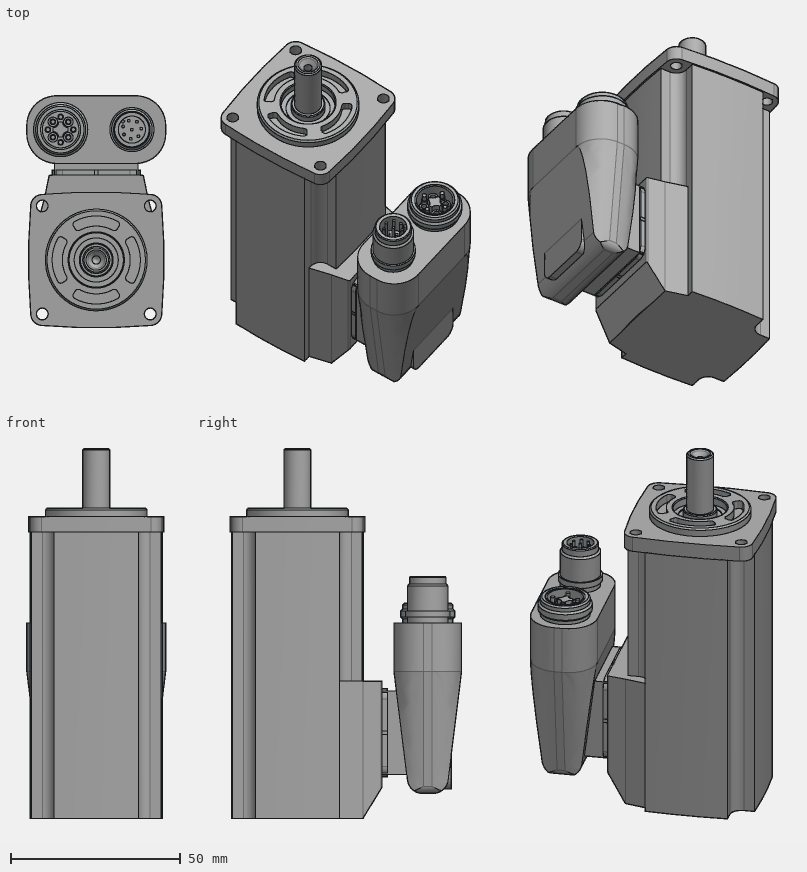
import cadquery as cq
import math


BODY_HALF = 19.5
BODY_TOP = 84.4
SIDE_BULGE_RADIUS = 213.0
NOTCH_INNER = 12.4
NOTCH_RADIUS = 3.5

FLANGE_HALF = 20.0
FLANGE_TOP = 89.0
FLANGE_CORNER_RADIUS = 3.5
BOLT_CIRCLE_DIA = 45.0
BOLT_HOLE_DIA = 3.4
PILOT_DIA = 30.0
PILOT_HEIGHT = 2.5
PILOT_TOP = FLANGE_TOP + PILOT_HEIGHT
PILOT_CHAMFER = 0.5
SLOT_INNER_RADIUS = 10.0
SLOT_OUTER_RADIUS = 13.0
SLOT_HALF_ANGLE = 34.0
SLOT_CORNER_RADIUS = 1.0
SLOT_DEPTH = PILOT_HEIGHT
RECESS_DIA = 16.0
RECESS_CHAMFER = 0.3
RECESS_FLOOR = FLANGE_TOP
SEAL_GROOVE_DIA = 13.0
SEAL_GROOVE_DEPTH = 0.3

SHAFT_DIA = 8.0
SHAFT_TOP = 109.0
SHAFT_CHAMFER = 0.4
COLLAR_DIA = 10.0
COLLAR_SETBACK = 0.5
COLLAR_TOP = PILOT_TOP - COLLAR_SETBACK
COLLAR_CHAMFER = 0.3
CENTRE_MOUTH_DIA = 6.0
CENTRE_CONE_DIA = 5.0
CENTRE_CONE_DEPTH = 1.6
CENTRE_MOUTH_DEPTH = 0.3
CENTRE_BORE_DIA = 2.46
CENTRE_BORE_DEPTH = 9.0
CENTRE_TIP_DEPTH = 0.7

BLOCK_OUTER_Y = 25.0
BLOCK_TOP = 40.5
BLOCK_OUTER_HALF = 13.9
BLOCK_KINK_HALF = 15.05
BLOCK_INNER_HALF = 16.8
BLOCK_SLOPE_TOP = 9.3
BLOCK_SLOPE_Y = 19.3
BLOCK_EDGE_RADIUS = 0.5

NECK_Z = 25.3
PLATE_SIZE = 26.0
PLATE_THICKNESS = 1.5
PLATE_RADIUS = 3.0
INDEX_GROOVE_WIDTH = 1.1
INDEX_GROOVE_DEPTH = 0.1
NECK_SIZE = 24.7

HOUSING_Y = 38.42
HOUSING_LENGTH = 41.0
HOUSING_WIDTH = 20.0
HOUSING_RADIUS = 8.8
HOUSING_TOP = 57.7
HOUSING_TAPER_Z = 43.4
HOUSING_BOTTOM = 7.4
HOUSING_TAPER = 7.1
HOUSING_LONG_EDGE_RADIUS = 4.5
HOUSING_END_EDGE_RADIUS = 2.4
PAD_Y = 45.4
PAD_WIDTH = 20.0
PAD_BOTTOM = 8.7
PAD_TOP = 20.0
PAD_RADIUS = 3.0

CONNECTOR_X = 10.5
POWER_TOP = 63.5
POWER_DIA = 14.77
RING_DIA = 16.0
RING_BOTTOM = 59.4
RING_TOP = 61.2
RING_BEVEL = (RING_DIA - POWER_DIA) / 2
POWER_CHAMFER = 0.5
POWER_FLOOR = HOUSING_TOP
POWER_MOUTH_DIA = 11.8
POWER_MOUTH_DEPTH = 0.2
POWER_BORE_DIA = 10.77
SLEEVE_OFFSET = 2.27
SLEEVE_DIA = 2.8
SLEEVE_HOLE_DIA = 1.65
CONTACT_BORE_DIA = 1.25
SLEEVE_HOLE_FLOOR = 59.2
SLEEVE_TOP = 61.0
SLEEVE_CLEARANCE_DIA = 3.4
PILLAR_SIZE = 4.4
PIN_RADIUS = 3.75
POWER_PIN_DIA = 1.65
POWER_PIN_TIP_DIA = 1.25
POWER_PIN_TOP = 62.9
PILLAR_TOP = 62.6

SIGNAL_RING_DIA = 13.0
SIGNAL_DIA = 12.0
SIGNAL_SHOULDER = 69.2
SIGNAL_SHOULDER_CHAMFER = 0.6
SIGNAL_TIP_DIA = 10.77
SIGNAL_TOP = 71.4
SIGNAL_CHAMFER = 0.3
SIGNAL_BORE_DIA = 8.0
SIGNAL_FLOOR = 65.0
SIGNAL_PIN_DIA = 0.8
SIGNAL_PIN_CIRCLE_RADIUS = 2.75
SIGNAL_PIN_COUNT = 7
SIGNAL_PIN_START_ANGLE = 6.0
SIGNAL_PIN_TOP = 71.0
KEY_ANGLE = 137.0
KEY_WIDTH = 0.8
KEY_INNER_RADIUS = 3.2


def cylinder(diameter, bottom, top, x=0.0, y=0.0):
    return cq.Workplane("XY", origin=(x, y, bottom)).circle(diameter / 2).extrude(top - bottom)


def block(x_size, y_size, bottom, top, x=0.0, y=0.0):
    return cq.Workplane("XY", origin=(x, y, bottom)).rect(x_size, y_size).extrude(top - bottom)


def cone(bottom_diameter, top_diameter, bottom, top, x=0.0, y=0.0):
    frustum = cq.Solid.makeCone(bottom_diameter / 2, top_diameter / 2, top - bottom, cq.Vector(x, y, bottom))
    return cq.Workplane(frustum)


def polar(radius, angle):
    turn = math.radians(angle)
    return (radius * math.cos(turn), radius * math.sin(turn))


def bulged_square(half, bottom, top):
    """Square prism whose four sides bow outward to `half` at their middles."""
    corner = half - half**2 / (2 * SIDE_BULGE_RADIUS)
    return (
        cq.Workplane("XY", origin=(0, 0, bottom))
        .moveTo(corner, -corner)
        .threePointArc((half, 0), (corner, corner))
        .threePointArc((0, half), (-corner, corner))
        .threePointArc((-half, 0), (-corner, -corner))
        .threePointArc((0, -half), (corner, -corner))
        .close()
        .extrude(top - bottom)
    )


def motor_body():
    body = bulged_square(BODY_HALF, 0, BODY_TOP)
    notch_size = BODY_HALF
    notch_centre = NOTCH_INNER + notch_size / 2
    for x_sign in (-1, 1):
        for y_sign in (-1, 1):
            notch = block(notch_size, notch_size, 0, BODY_TOP, x_sign * notch_centre, y_sign * notch_centre)
            body = body.cut(notch.edges("|Z").fillet(NOTCH_RADIUS))
    return body


def pilot_slot():
    """Annular-sector pocket around +X in the pilot face."""
    outer_start = polar(SLOT_OUTER_RADIUS, -SLOT_HALF_ANGLE)
    outer_end = polar(SLOT_OUTER_RADIUS, SLOT_HALF_ANGLE)
    inner_start = polar(SLOT_INNER_RADIUS, SLOT_HALF_ANGLE)
    inner_end = polar(SLOT_INNER_RADIUS, -SLOT_HALF_ANGLE)
    return (
        cq.Workplane("XY", origin=(0, 0, PILOT_TOP - SLOT_DEPTH))
        .moveTo(*outer_start)
        .threePointArc((SLOT_OUTER_RADIUS, 0), outer_end)
        .lineTo(*inner_start)
        .threePointArc((SLOT_INNER_RADIUS, 0), inner_end)
        .close()
        .extrude(SLOT_DEPTH)
        .edges("|Z")
        .fillet(SLOT_CORNER_RADIUS)
    )


def flange():
    plate = bulged_square(FLANGE_HALF, BODY_TOP, FLANGE_TOP).edges("|Z").fillet(FLANGE_CORNER_RADIUS)
    plate = plate.union(cylinder(PILOT_DIA, BODY_TOP, PILOT_TOP).faces(">Z").chamfer(PILOT_CHAMFER))
    for quarter in range(4):
        x, y = polar(BOLT_CIRCLE_DIA / 2, 45 + 90 * quarter)
        plate = plate.cut(cylinder(BOLT_HOLE_DIA, BODY_TOP, FLANGE_TOP, x, y))
        plate = plate.cut(pilot_slot().rotate((0, 0, 0), (0, 0, 1), 90 * quarter))
    recess = cylinder(RECESS_DIA, RECESS_FLOOR, PILOT_TOP)
    mouth = cone(RECESS_DIA, RECESS_DIA + 2 * RECESS_CHAMFER, PILOT_TOP - RECESS_CHAMFER, PILOT_TOP)
    groove = cylinder(SEAL_GROOVE_DIA, RECESS_FLOOR - SEAL_GROOVE_DEPTH, PILOT_TOP)
    return plate.cut(recess).cut(mouth).cut(groove)


def shaft():
    collar = cylinder(COLLAR_DIA, BODY_TOP, COLLAR_TOP).faces(">Z").chamfer(COLLAR_CHAMFER)
    bar = cylinder(SHAFT_DIA, BODY_TOP, SHAFT_TOP).faces(">Z").chamfer(SHAFT_CHAMFER)
    centre_hole = (
        cq.Workplane("XZ")
        .moveTo(0, SHAFT_TOP)
        .lineTo(CENTRE_MOUTH_DIA / 2, SHAFT_TOP)
        .lineTo(CENTRE_CONE_DIA / 2, SHAFT_TOP - CENTRE_MOUTH_DEPTH)
        .lineTo(CENTRE_BORE_DIA / 2, SHAFT_TOP - CENTRE_CONE_DEPTH)
        .lineTo(CENTRE_BORE_DIA / 2, SHAFT_TOP - CENTRE_BORE_DEPTH)
        .lineTo(0, SHAFT_TOP - CENTRE_BORE_DEPTH - CENTRE_TIP_DEPTH)
        .close()
        .revolve(360, (0, 0, 0), (0, 1, 0))
    )
    return collar.union(bar).cut(centre_hole)


def terminal_block():
    prism = (
        cq.Workplane("XY")
        .moveTo(-BLOCK_INNER_HALF, NOTCH_INNER)
        .lineTo(BLOCK_INNER_HALF, NOTCH_INNER)
        .lineTo(BLOCK_KINK_HALF, BLOCK_SLOPE_Y)
        .lineTo(BLOCK_OUTER_HALF, BLOCK_OUTER_Y)
        .lineTo(-BLOCK_OUTER_HALF, BLOCK_OUTER_Y)
        .lineTo(-BLOCK_KINK_HALF, BLOCK_SLOPE_Y)
        .close()
        .extrude(BLOCK_TOP)
        .edges("|Z and >Y")
        .fillet(BLOCK_EDGE_RADIUS)
    )
    underside = (
        cq.Workplane("YZ")
        .moveTo(BLOCK_SLOPE_Y, 0)
        .lineTo(BLOCK_OUTER_Y, 0)
        .lineTo(BLOCK_OUTER_Y, BLOCK_SLOPE_TOP)
        .close()
        .extrude(BLOCK_INNER_HALF, both=True)
    )
    return prism.cut(underside)


def neck():
    plate_centre_y = BLOCK_OUTER_Y + PLATE_THICKNESS / 2
    plate = (
        cq.Workplane("XY", origin=(0, plate_centre_y, NECK_Z))
        .box(PLATE_SIZE, PLATE_THICKNESS, PLATE_SIZE)
        .edges("|Y")
        .fillet(PLATE_RADIUS)
    )
    groove_span = PLATE_SIZE - INDEX_GROOVE_DEPTH
    groove = cq.Workplane("XY", origin=(groove_span / 2, plate_centre_y, NECK_Z)).box(
        INDEX_GROOVE_DEPTH, PLATE_THICKNESS, INDEX_GROOVE_WIDTH
    )
    for quarter in range(4):
        plate = plate.cut(groove.rotate((0, 0, NECK_Z), (0, 1, NECK_Z), 90 * quarter))
    length = HOUSING_Y - BLOCK_OUTER_Y
    stem_centre_y = BLOCK_OUTER_Y + length / 2
    stem = cq.Workplane("XY", origin=(0, stem_centre_y, NECK_Z)).box(NECK_SIZE, length, NECK_SIZE)
    return plate.union(stem)


def leaning_end(length, lean, run):
    """Oblong prism with its -X end at the housing end, leaning toward +X on the way down."""
    start_x = (length - HOUSING_LENGTH) / 2
    upright = block(length, HOUSING_WIDTH, HOUSING_TAPER_Z, HOUSING_TOP, start_x, HOUSING_Y)
    outline = upright.edges("|Z").fillet(HOUSING_RADIUS).faces("<Z").val()
    return cq.Workplane(cq.Solid.extrudeLinear(outline, cq.Vector(lean, 0, -run)))


def tapered_profile(plane, half_width, centre, edge_radius, depth):
    """Plug seen from one side: straight at the top, tapering down to rounded bottom edges."""
    run = HOUSING_TAPER_Z - HOUSING_BOTTOM
    bottom_half = half_width - run * math.tan(math.radians(HOUSING_TAPER))
    return (
        cq.Workplane(plane)
        .moveTo(centre - half_width, HOUSING_TOP)
        .lineTo(centre - half_width, HOUSING_TAPER_Z)
        .lineTo(centre - bottom_half, HOUSING_BOTTOM)
        .lineTo(centre + bottom_half, HOUSING_BOTTOM)
        .lineTo(centre + half_width, HOUSING_TAPER_Z)
        .lineTo(centre + half_width, HOUSING_TOP)
        .close()
        .extrude(depth, both=True)
        .faces("<Z")
        .edges("|X" if plane == "YZ" else "|Y")
        .fillet(edge_radius)
    )


def housing():
    """Rounded oblong whose ends lean inward below the taper line, pared down by sloping sides."""
    run = HOUSING_TAPER_Z - HOUSING_BOTTOM
    lean = run * math.tan(math.radians(HOUSING_TAPER))
    upper = block(HOUSING_LENGTH, HOUSING_WIDTH, HOUSING_TAPER_Z, HOUSING_TOP, 0, HOUSING_Y)
    upper = upper.edges("|Z").fillet(HOUSING_RADIUS)
    left_end = leaning_end(HOUSING_LENGTH + 2 * lean, lean, run)
    lower = left_end.intersect(left_end.mirror("YZ"))
    half_width = HOUSING_WIDTH / 2
    half_length = HOUSING_LENGTH / 2
    reach = HOUSING_Y + HOUSING_WIDTH
    side_profile = tapered_profile("YZ", half_width, HOUSING_Y, HOUSING_LONG_EDGE_RADIUS, reach)
    end_profile = tapered_profile("XZ", half_length, 0, HOUSING_END_EDGE_RADIUS, reach)
    pad_depth = PAD_Y - HOUSING_Y
    pad = (
        cq.Workplane("XY", origin=(0, HOUSING_Y + pad_depth / 2, (PAD_BOTTOM + PAD_TOP) / 2))
        .box(PAD_WIDTH, pad_depth, PAD_TOP - PAD_BOTTOM)
        .faces("<Z")
        .edges("|Y")
        .fillet(PAD_RADIUS)
    )
    return upper.union(lower.intersect(side_profile).intersect(end_profile)).union(pad)


def power_connector():
    x = -CONNECTOR_X
    shell = cylinder(POWER_DIA, HOUSING_TOP, POWER_TOP, x, HOUSING_Y).faces(">Z").chamfer(POWER_CHAMFER)
    ring = cylinder(RING_DIA, RING_BOTTOM, RING_TOP, x, HOUSING_Y)
    lower_bevel = cone(POWER_DIA, RING_DIA, RING_BOTTOM - RING_BEVEL, RING_BOTTOM, x, HOUSING_Y)
    upper_bevel = cone(RING_DIA, POWER_DIA, RING_TOP, RING_TOP + RING_BEVEL, x, HOUSING_Y)
    shell = shell.union(ring).union(lower_bevel).union(upper_bevel)
    shell = shell.cut(cylinder(POWER_MOUTH_DIA, POWER_TOP - POWER_MOUTH_DEPTH, POWER_TOP, x, HOUSING_Y))
    shell = shell.cut(cylinder(POWER_BORE_DIA, POWER_FLOOR, POWER_TOP, x, HOUSING_Y))
    pillar = block(PILLAR_SIZE, PILLAR_SIZE, POWER_FLOOR, PILLAR_TOP, x, HOUSING_Y)
    contacts = cq.Workplane("XY")
    for quarter in range(4):
        sleeve_x, sleeve_y = polar(SLEEVE_OFFSET * math.sqrt(2), 45 + 90 * quarter)
        place = (x + sleeve_x, HOUSING_Y + sleeve_y)
        pillar = pillar.cut(cylinder(SLEEVE_CLEARANCE_DIA, POWER_FLOOR, POWER_TOP, *place))
        sleeve = cylinder(SLEEVE_DIA, POWER_FLOOR, SLEEVE_TOP, *place)
        sleeve = sleeve.cut(cylinder(SLEEVE_HOLE_DIA, SLEEVE_HOLE_FLOOR, SLEEVE_TOP, *place))
        sleeve = sleeve.cut(cylinder(CONTACT_BORE_DIA, POWER_FLOOR, SLEEVE_TOP, *place))
        contacts = contacts.add(sleeve)
        pin_x, pin_y = polar(PIN_RADIUS, 90 * quarter)
        pin_place = (x + pin_x, HOUSING_Y + pin_y)
        pin = cylinder(POWER_PIN_DIA, POWER_FLOOR, SLEEVE_TOP, *pin_place)
        pin = pin.union(cylinder(POWER_PIN_TIP_DIA, POWER_FLOOR, POWER_PIN_TOP, *pin_place))
        contacts = contacts.add(pin)
    return shell.union(pillar).union(contacts.combine())


def signal_connector():
    x = CONNECTOR_X
    shell = cylinder(SIGNAL_DIA, HOUSING_TOP, SIGNAL_SHOULDER, x, HOUSING_Y)
    shell = shell.faces(">Z").chamfer(SIGNAL_SHOULDER_CHAMFER)
    ring = cylinder(SIGNAL_RING_DIA, RING_BOTTOM, RING_TOP, x, HOUSING_Y)
    tip = cylinder(SIGNAL_TIP_DIA, HOUSING_TOP, SIGNAL_TOP, x, HOUSING_Y).faces(">Z").chamfer(SIGNAL_CHAMFER)
    bore = cylinder(SIGNAL_BORE_DIA, SIGNAL_FLOOR, SIGNAL_TOP, x, HOUSING_Y)
    shell = shell.union(ring).union(tip).cut(bore)
    shell = shell.union(cylinder(SIGNAL_PIN_DIA, SIGNAL_FLOOR, SIGNAL_PIN_TOP, x, HOUSING_Y))
    for index in range(SIGNAL_PIN_COUNT):
        angle = SIGNAL_PIN_START_ANGLE + index * 360 / SIGNAL_PIN_COUNT
        pin_x, pin_y = polar(SIGNAL_PIN_CIRCLE_RADIUS, angle)
        pin_place = (x + pin_x, HOUSING_Y + pin_y)
        shell = shell.union(cylinder(SIGNAL_PIN_DIA, SIGNAL_FLOOR, SIGNAL_PIN_TOP, *pin_place))
    key_outer = (SIGNAL_BORE_DIA / 2 + SIGNAL_TIP_DIA / 2) / 2
    key_length = key_outer - KEY_INNER_RADIUS
    key = block(key_length, KEY_WIDTH, SIGNAL_FLOOR, SIGNAL_PIN_TOP, KEY_INNER_RADIUS + key_length / 2)
    key = key.rotate((0, 0, 0), (0, 0, 1), KEY_ANGLE).translate((x, HOUSING_Y, 0))
    return shell.union(key)


result = (
    motor_body()
    .union(flange())
    .union(shaft())
    .union(terminal_block())
    .union(neck())
    .union(housing())
    .union(power_connector())
    .union(signal_connector())
)